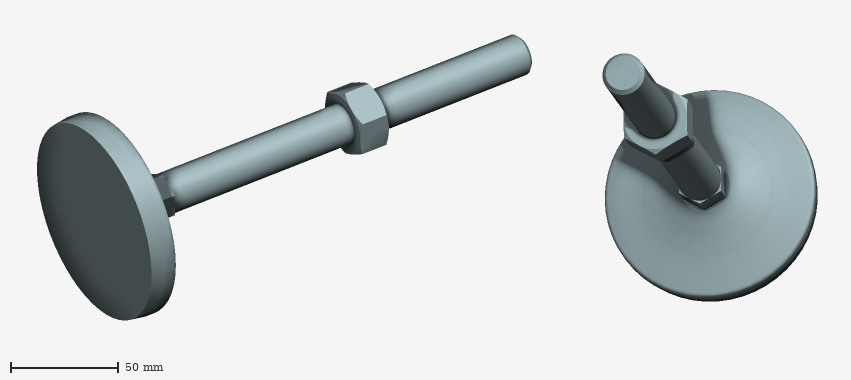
import cadquery as cq
import math

total_length = 238.5

pad_radius = 49.97
pad_bottom_radius = 49.0
taper_top = 7.5
rim_band_top = 11.7
rim_round_radius = 2.1
crown_radius = 12.0
crown_height = 24.5
flank_upper_radius = 26.2
flank_upper_height = 18.5
flank_lower_radius = 37.0
flank_lower_height = 15.7

rod_diameter = 20.0
rod_tip_chamfer = 2.0
neck_diameter = rod_diameter / 2
stem_hex_flats = rod_diameter
stem_hex_start = 26.0
stem_hex_height = 12.5

nut_flats = 30.0
nut_start = 138.3
nut_height = 16.0
nut_chamfer_angle = 30.0


def plane_at(height):
    """Plane across the foot's axis, with its normal along +Y."""
    return cq.Workplane("XZ", origin=(0, height, 0)).transformed(rotate=(180, 0, 0))


def hexagon(flats, start, height):
    """Hexagonal prism with flats facing +X and -X and corners facing +Z and -Z."""
    corner_diameter = flats / math.cos(math.pi / 6)
    return (
        plane_at(start)
        .transformed(rotate=(0, 0, 90))
        .polygon(6, corner_diameter)
        .extrude(height)
    )


def make_pad():
    """Round pad with a tapered foot, a straight rim band and a concave flank."""
    rim_round_center = pad_radius - rim_round_radius
    round_middle = rim_round_radius * math.sin(math.pi / 4)
    flank_points = [
        (flank_upper_radius, flank_upper_height),
        (flank_lower_radius, flank_lower_height),
        (rim_round_center, rim_band_top + rim_round_radius),
        (rim_round_center + round_middle, rim_band_top + round_middle),
        (pad_radius, rim_band_top),
    ]
    return (
        cq.Workplane("XY")
        .lineTo(0, crown_height)
        .lineTo(crown_radius, crown_height)
        .spline(flank_points, includeCurrent=True)
        .lineTo(pad_radius, taper_top)
        .lineTo(pad_bottom_radius, 0)
        .close()
        .revolve(360, (0, 0), (0, 1))
    )


def make_stem():
    """Neck, wrench hexagon and chamfered rod."""
    hex_end = stem_hex_start + stem_hex_height
    neck = plane_at(crown_height).circle(neck_diameter / 2).extrude(stem_hex_start - crown_height)
    rod = (
        plane_at(hex_end)
        .circle(rod_diameter / 2)
        .extrude(total_length - hex_end)
        .faces(">Y")
        .chamfer(rod_tip_chamfer)
    )
    return neck.union(hexagon(stem_hex_flats, stem_hex_start, stem_hex_height)).union(rod)


def make_lock_nut():
    """Hexagonal nut whose corners are trimmed by a cone at both ends."""
    face_radius = nut_flats / 2
    corner_radius = face_radius / math.cos(math.pi / 6)
    chamfer_height = (corner_radius - face_radius) * math.tan(math.radians(nut_chamfer_angle))
    nut_end = nut_start + nut_height
    trimming_body = (
        cq.Workplane("XY")
        .moveTo(0, nut_start)
        .lineTo(face_radius, nut_start)
        .lineTo(corner_radius, nut_start + chamfer_height)
        .lineTo(corner_radius, nut_end - chamfer_height)
        .lineTo(face_radius, nut_end)
        .lineTo(0, nut_end)
        .close()
        .revolve(360, (0, 0), (0, 1))
    )
    return hexagon(nut_flats, nut_start, nut_height).intersect(trimming_body)


result = make_pad().union(make_stem()).union(make_lock_nut())